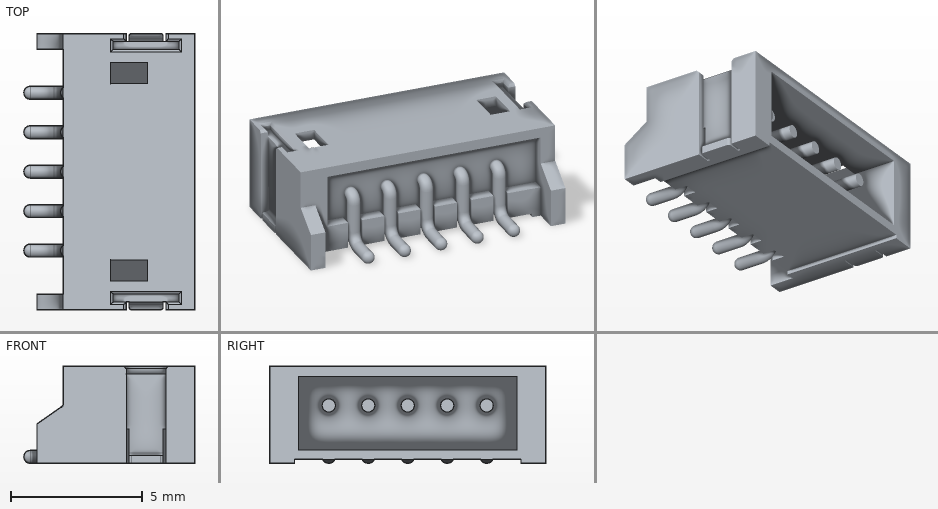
import cadquery as cq
import math


housing_depth = 5.0
housing_width = 10.5
housing_height = 3.7
half_width = housing_width / 2
roof = 0.4
side_wall = 1.1
roof_underside = housing_height - roof

wing_length = 1.0
wing_width = 0.6
wing_rear_height = 1.5
wing_front_height = 2.2

foot_width = 0.95
foot_height = 0.15

recess_depth = 0.5
recess_bottom = 1.2
recess_left = -half_width + wing_width
recess_right = half_width - side_wall
channel_width = 0.6

window_rear = 1.8
window_length = 1.4
window_width = 0.8
cavity_rear = window_rear
cavity_floor = 0.5

slot_center = 3.15
slot_length = 2.5
slot_opening = 1.5
lip = 0.3
slot_thickness = 0.3
slot_chamfer = 0.1
slot_shoulder = 1.3

plate_top = 3.4
plate_lower_length = 1.3
tab_height = 0.3
tab_corner_radius = 0.1
tab_bend_radius = 0.1

pin_count = 5
pin_pitch = 1.5
pin_radius = 0.25
pin_tip = -1.5
pin_column = 0.15
pin_level = 2.2
pin_end = 4.2
lower_bend = 0.5
upper_bend = 0.27
pin_positions = [(i - (pin_count - 1) / 2) * pin_pitch for i in range(pin_count)]


def box(x, y, z):
    """Box between the (low, high) limits given for each axis."""
    return (
        cq.Workplane("XY")
        .box(x[1] - x[0], y[1] - y[0], z[1] - z[0], centered=False)
        .translate((x[0], y[0], z[0]))
    )


def both_ends(shape):
    """Shape at the -Y end together with its mirror image at the +Y end."""
    return shape.union(shape.mirror("XZ"))


def wing():
    """Rear wing at the -Y end, sloping down away from the housing."""
    outline = [
        (0, 0),
        (-wing_length, 0),
        (-wing_length, wing_rear_height),
        (0, wing_front_height),
    ]
    return (
        cq.Workplane("XZ", origin=(0, -half_width + wing_width, 0))
        .polyline(outline)
        .close()
        .extrude(wing_width)
    )


def slot():
    """Cutter for the retainer slot at the -Y end, with a shoulder for the plate and a flared top."""
    outer = -half_width - lip
    lip_inside = -half_width + lip
    inner = lip_inside + slot_thickness

    def outline(bottom, margin):
        """T-shaped outline at the given level, widened by the margin."""
        half_opening = slot_opening / 2 + margin
        half_slot = slot_length / 2 + margin
        shoulder = lip_inside - margin
        return (
            cq.Workplane("XY", origin=(slot_center, 0, bottom))
            .moveTo(-half_opening, outer)
            .lineTo(half_opening, outer)
            .lineTo(half_opening, shoulder)
            .lineTo(half_slot, shoulder)
            .lineTo(half_slot, inner + margin)
            .lineTo(-half_slot, inner + margin)
            .lineTo(-half_slot, shoulder)
            .lineTo(-half_opening, shoulder)
            .close()
        )

    flare_bottom = housing_height - slot_chamfer
    lower_wire = outline(flare_bottom, 0).val()
    upper_wire = outline(housing_height, slot_chamfer).val()
    flare = cq.Workplane(cq.Solid.makeLoft([lower_wire, upper_wire], True))
    upper = outline(slot_shoulder, 0).extrude(housing_height - slot_shoulder)
    lower = box(
        (slot_center - slot_opening / 2, slot_center + slot_opening / 2),
        (outer, inner),
        (0, slot_shoulder),
    )
    return lower.union(upper).union(flare)


def retainer():
    """Retainer plate at the -Y end with its solder tab turned outwards."""
    face = -half_width + lip
    back = face + slot_thickness
    half_slot = slot_length / 2
    half_lower = plate_lower_length / 2
    upper = box(
        (slot_center - half_slot, slot_center + half_slot),
        (face, back),
        (slot_shoulder, plate_top),
    )
    arc_offset = tab_bend_radius * (1 - math.sqrt(0.5))
    lower = (
        cq.Workplane("YZ", origin=(slot_center - half_lower, 0, 0))
        .moveTo(-half_width, 0)
        .lineTo(back, 0)
        .lineTo(back, slot_shoulder)
        .lineTo(face, slot_shoulder)
        .lineTo(face, tab_height + tab_bend_radius)
        .threePointArc(
            (face - arc_offset, tab_height + arc_offset),
            (face - tab_bend_radius, tab_height),
        )
        .lineTo(-half_width, tab_height)
        .close()
        .extrude(plate_lower_length)
        .faces("<Y")
        .edges("|Z")
        .fillet(tab_corner_radius)
    )
    return upper.union(lower)


def housing():
    """Housing with wings, rear recess, mating cavity, roof windows and retainer slots."""
    body = box((0, housing_depth), (-half_width, half_width), (0, housing_height))
    body = body.union(both_ends(wing()))

    relief_half = half_width - foot_width
    body = body.cut(box((0, housing_depth), (-relief_half, relief_half), (0, foot_height)))
    body = body.cut(
        box((0, recess_depth), (recess_left, recess_right), (recess_bottom, roof_underside))
    )
    for y in pin_positions:
        channel = (y - channel_width / 2, y + channel_width / 2)
        body = body.cut(box((0, recess_depth), channel, (0, recess_bottom)))

    cavity_half = half_width - side_wall
    body = body.cut(
        box((cavity_rear, housing_depth), (-cavity_half, cavity_half), (cavity_floor, roof_underside))
    )
    window = box(
        (window_rear, window_rear + window_length),
        (-cavity_half, -cavity_half + window_width),
        (roof_underside, housing_height),
    )
    return body.cut(both_ends(window)).cut(both_ends(slot()))


def pin():
    """Pin in the plane y = 0: solder leg, vertical column and mating leg."""
    leg_level = pin_radius
    leg_start = pin_tip + pin_radius
    bend_reach = math.sqrt(0.5)
    lower_center = (pin_column - lower_bend, leg_level + lower_bend)
    upper_center = (pin_column + upper_bend, pin_level - upper_bend)
    path = (
        cq.Workplane("XZ")
        .moveTo(leg_start, leg_level)
        .lineTo(lower_center[0], leg_level)
        .threePointArc(
            (lower_center[0] + lower_bend * bend_reach, lower_center[1] - lower_bend * bend_reach),
            (pin_column, lower_center[1]),
        )
        .lineTo(pin_column, upper_center[1])
        .threePointArc(
            (upper_center[0] - upper_bend * bend_reach, upper_center[1] + upper_bend * bend_reach),
            (upper_center[0], pin_level),
        )
        .lineTo(pin_end, pin_level)
    )
    wire = cq.Workplane("YZ", origin=(leg_start, 0, leg_level)).circle(pin_radius).sweep(path)
    tip = cq.Workplane("YZ", origin=(leg_start, 0, leg_level)).sphere(pin_radius)
    return wire.union(tip)


result = housing().union(both_ends(retainer()))
single_pin = pin()
for y in pin_positions:
    result = result.union(single_pin.translate((0, y, 0)))